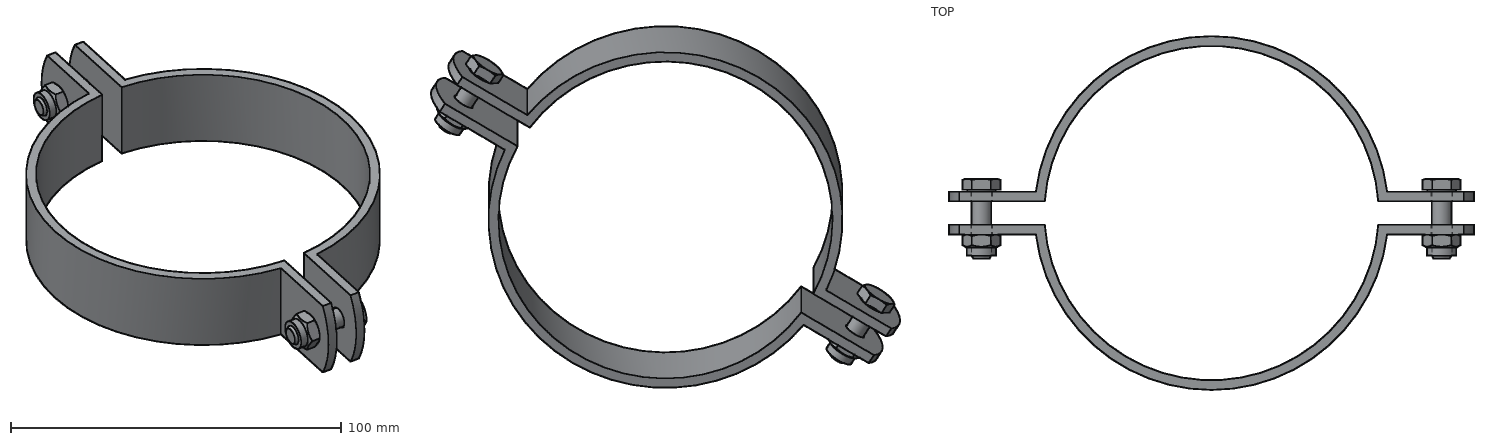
import cadquery as cq
import math

overall_length = 159.0
band_width = 25.0
outer_radius = 53.6
band_thickness = 3.0
lug_gap = 7.0
lug_end_bulge = 3.2
bolt_spacing = 139.3
bolt_hole_diameter = 6.5

inner_radius = outer_radius - band_thickness
lug_inner_y = lug_gap / 2
lug_outer_y = lug_inner_y + band_thickness
lug_tip_x = overall_length / 2
lug_corner_x = lug_tip_x - lug_end_bulge

shank_diameter = 6.0
tip_diameter = 5.0
tip_projection = 7.3
across_flats = 10.0
washer_face_diameter = 8.7
washer_face_height = 0.5
head_height = 3.8
hex_end_diameter = 10.0
head_bevel_height = 0.3
nut_bevel_height = 0.8
nut_base_bevel_height = 0.5
nut_hex_height = 4.0
collar_diameter = 8.9
nut_height = 6.4
tip_chamfer_length = tip_projection - nut_height

across_corners = across_flats / math.cos(math.pi / 6)
corner_radius = across_corners / 2


def revolve_profile(points):
    """Revolve (radius, height) points about the Z axis."""
    return cq.Workplane("XZ").polyline(points).close().revolve(360, (0, 0, 0), (0, 1, 0))


def hexagon(height):
    return cq.Workplane("XY").polygon(6, across_corners).extrude(height)


def make_clamp_half():
    """Half band on the +Y side with a drilled, round-ended lug at each end."""
    inner_x = math.sqrt(inner_radius**2 - lug_inner_y**2)
    outer_x = math.sqrt(outer_radius**2 - lug_outer_y**2)
    band = (
        cq.Workplane("XY", origin=(0, 0, -band_width / 2))
        .moveTo(-inner_x, lug_inner_y)
        .threePointArc((0, inner_radius), (inner_x, lug_inner_y))
        .lineTo(lug_tip_x, lug_inner_y)
        .lineTo(lug_tip_x, lug_outer_y)
        .lineTo(outer_x, lug_outer_y)
        .threePointArc((0, outer_radius), (-outer_x, lug_outer_y))
        .lineTo(-lug_tip_x, lug_outer_y)
        .lineTo(-lug_tip_x, lug_inner_y)
        .close()
        .extrude(band_width)
    )
    side_outline = (
        cq.Workplane("XZ")
        .moveTo(-lug_corner_x, -band_width / 2)
        .lineTo(lug_corner_x, -band_width / 2)
        .threePointArc((lug_tip_x, 0), (lug_corner_x, band_width / 2))
        .lineTo(-lug_corner_x, band_width / 2)
        .threePointArc((-lug_tip_x, 0), (-lug_corner_x, -band_width / 2))
        .close()
        .extrude(-outer_radius)
    )
    bolt_holes = (
        cq.Workplane("XZ")
        .pushPoints([(-bolt_spacing / 2, 0), (bolt_spacing / 2, 0)])
        .circle(bolt_hole_diameter / 2)
        .extrude(-outer_radius)
    )
    return band.intersect(side_outline).cut(bolt_holes)


def make_bolt():
    """Hex bolt along Z: head bearing plane at Z = 0, shank pointing down."""
    shank_radius = shank_diameter / 2
    shank_length = 2 * lug_outer_y + tip_projection
    envelope = revolve_profile([
        (0, washer_face_height),
        (corner_radius, washer_face_height),
        (corner_radius, head_height - head_bevel_height),
        (hex_end_diameter / 2, head_height),
        (0, head_height),
    ])
    washer_face_and_shank = revolve_profile([
        (0, washer_face_height),
        (washer_face_diameter / 2, washer_face_height),
        (washer_face_diameter / 2, 0),
        (shank_radius, 0),
        (shank_radius, tip_chamfer_length - shank_length),
        (tip_diameter / 2, -shank_length),
        (0, -shank_length),
    ])
    return hexagon(head_height).intersect(envelope).union(washer_face_and_shank)


def make_nut():
    """Collared lock nut along Z: bearing plane at Z = 0, collar pointing down."""
    collar_radius = collar_diameter / 2
    bevel_start = nut_hex_height - nut_bevel_height
    envelope = revolve_profile([
        (0, 0),
        (hex_end_diameter / 2, 0),
        (corner_radius, -nut_base_bevel_height),
        (corner_radius, -bevel_start),
        (collar_radius, -nut_hex_height),
        (0, -nut_hex_height),
    ])
    collar = cq.Workplane("XY").circle(collar_radius).extrude(-nut_height)
    bore = cq.Workplane("XY").circle(shank_diameter / 2).extrude(-nut_height)
    return hexagon(-nut_hex_height).intersect(envelope).union(collar).cut(bore)


def place_on_lug(fastener, x, bearing_y):
    """Turn a fastener so its +Z axis faces +Y and seat it on a lug."""
    return fastener.rotate((0, 0, 0), (1, 0, 0), -90).translate((x, bearing_y, 0))


rear_half = make_clamp_half()
clamp_halves = [rear_half, rear_half.mirror("XZ")]

bolts = []
nuts = []
for bolt_x in (-bolt_spacing / 2, bolt_spacing / 2):
    bolts.append(place_on_lug(make_bolt(), bolt_x, lug_outer_y))
    nuts.append(place_on_lug(make_nut(), bolt_x, -lug_outer_y))

result = cq.Compound.makeCompound([body.val() for body in clamp_halves + bolts + nuts])